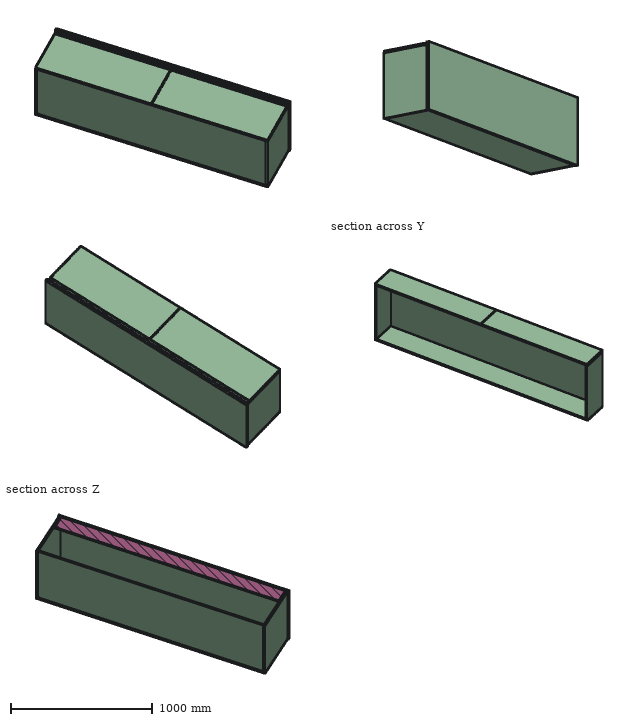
import cadquery as cq

back_width = 1800.0
depth = 400.0
height = 500.0

panel = 16.0
back_thickness = 20.0

back_overhang = 6.0
side_drop = 20.0
carcass_width = back_width - 2 * back_overhang
carcass_depth = depth - back_thickness
side_height = height - side_drop
inner_width = carcass_width - 2 * panel

rail_depth = 108.0

lid_gap = 4.0
lid_inset = lid_gap / 2
lid_depth = 353.0
lid_width = (carcass_width - lid_gap) / 2 - lid_inset

bevel_height = 10.0
bevel_depth = 15.0


def make_board(size_x, size_y, size_z, x_center=0, y_front=0, z_bottom=0):
    """Plain rectangular board, centred on x_center, reaching back from y_front and up from z_bottom."""
    board = cq.Workplane("XY").box(size_x, size_y, size_z, centered=(True, False, False))
    return board.translate((x_center, y_front, z_bottom))


def make_back():
    """Back panel, wider and taller than the rest of the chest."""
    return make_board(back_width, back_thickness, height, y_front=carcass_depth)


def make_side(direction):
    """Side panel, reaching from the front to the back panel."""
    x_center = direction * (carcass_width - panel) / 2
    return make_board(panel, carcass_depth, side_height, x_center)


def make_floor():
    """Floor between the sides, flush with the front."""
    return make_board(inner_width, carcass_depth, panel)


def make_front():
    """Front panel between the sides, standing on the floor."""
    return make_board(inner_width, panel, side_height - panel, z_bottom=panel)


def make_rail():
    """Rail between the sides, along the back panel and level with the side tops."""
    return make_board(
        inner_width,
        rail_depth,
        panel,
        y_front=carcass_depth - rail_depth,
        z_bottom=side_height - panel,
    )


def make_lid(direction):
    """Lid over one half of the chest, its rear lower edge bevelled as a finger grip."""
    x_center = direction * (lid_width + lid_gap) / 2
    lid_top = side_height + panel
    return (
        cq.Workplane("YZ")
        .moveTo(0, side_height)
        .lineTo(lid_depth - bevel_depth, side_height)
        .lineTo(lid_depth, side_height + bevel_height)
        .lineTo(lid_depth, lid_top)
        .lineTo(0, lid_top)
        .close()
        .extrude(lid_width)
        .translate((x_center - lid_width / 2, 0, 0))
    )


back = make_back()
floor = make_floor()
front = make_front()
rail = make_rail()
sides = [make_side(direction) for direction in (-1, 1)]
lids = [make_lid(direction) for direction in (-1, 1)]

result = cq.Compound.makeCompound([
    back.val(),
    floor.val(),
    front.val(),
    rail.val(),
    *[side.val() for side in sides],
    *[lid.val() for lid in lids],
])